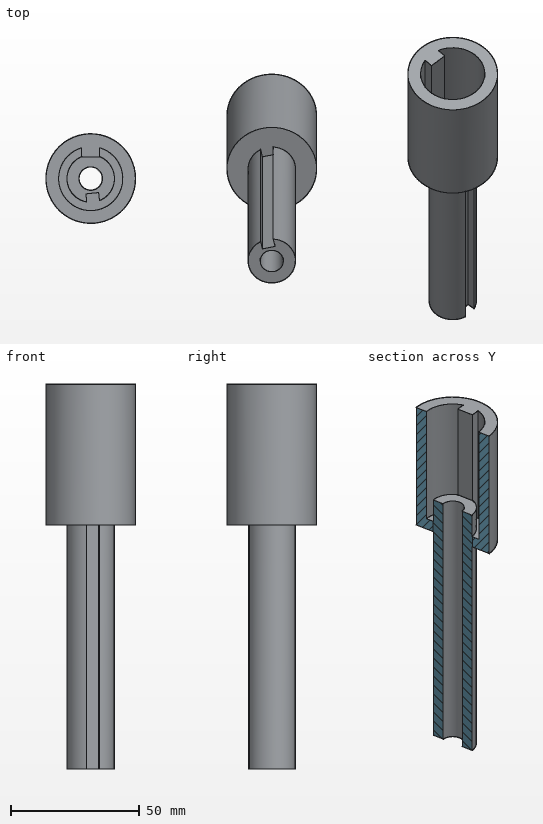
import cadquery as cq

shaft_exposed_length = 95.0
housing_length = 55.0
housing_bottom = shaft_exposed_length
housing_top = housing_bottom + housing_length

housing_diameter = 35.0
housing_bore_diameter = 25.0
housing_floor_thickness = 5.0
floor_top = housing_bottom + housing_floor_thickness
rib_width = 7.0

shaft_diameter = 18.5
shaft_bore_diameter = 9.0
shaft_height_above_floor = 10.0
shaft_top = floor_top + shaft_height_above_floor
flat_distance = 8.4
keyway_width = 5.0
keyway_floor_distance = 5.75
keyway_angle = 6.0


def cylinder(diameter, bottom, top):
    """Upright cylinder on the Z axis between two heights."""
    return cq.Workplane("XY").workplane(offset=bottom).circle(diameter / 2).extrude(top - bottom)


def block(width, y_start, y_end, bottom, top):
    """Upright block centred on X = 0 that runs from y_start to y_end."""
    return (
        cq.Workplane("XY")
        .workplane(offset=bottom)
        .center(0, (y_start + y_end) / 2)
        .rect(width, y_end - y_start)
        .extrude(top - bottom)
    )


def make_keyway_cutter():
    """Full-length keyway; subtracted from the floor hole it leaves a tongue that fills the keyway."""
    keyway = block(keyway_width, -shaft_diameter, -keyway_floor_distance, 0, shaft_top)
    return keyway.rotate((0, 0, 0), (0, 0, 1), keyway_angle)


def make_housing():
    rib_root_distance = (housing_diameter + housing_bore_diameter) / 4
    rib = block(rib_width, flat_distance, rib_root_distance, floor_top, housing_top)
    bore = cylinder(housing_bore_diameter, floor_top, housing_top)
    floor_hole = cylinder(shaft_diameter, housing_bottom, floor_top).cut(make_keyway_cutter())
    return cylinder(housing_diameter, housing_bottom, housing_top).cut(bore).cut(floor_hole).union(rib)


def make_shaft():
    bore = cylinder(shaft_bore_diameter, 0, shaft_top)
    flat_cut = block(shaft_diameter, flat_distance, shaft_diameter, floor_top, shaft_top)
    return cylinder(shaft_diameter, 0, shaft_top).cut(bore).cut(flat_cut).cut(make_keyway_cutter())


housing = make_housing()
shaft = make_shaft()

result = cq.Compound.makeCompound([housing.val(), shaft.val()])